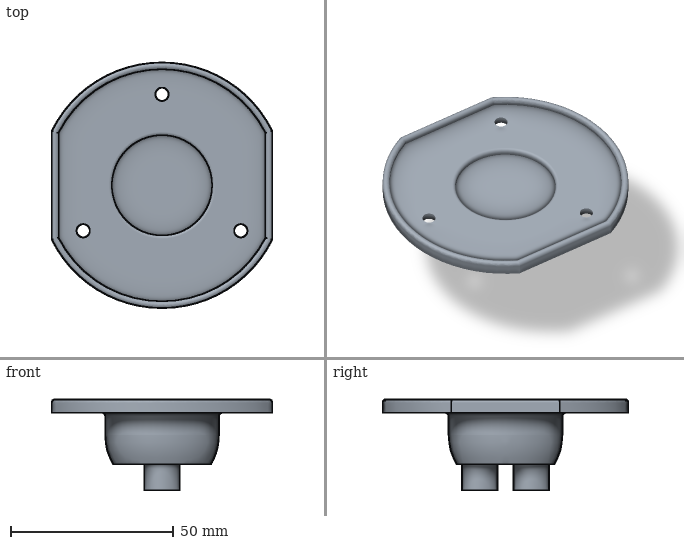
import cadquery as cq
import math

plate_diameter = 75.7
plate_width = 68.0
plate_height = 4.2
rim_width = 2.1
rim_height = 2.0
floor_z = plate_height - rim_height
rim_round = rim_width / 2

hole_count = 3
hole_diameter = 4.0
hole_circle_radius = 28.0
first_hole_angle = 90.0

recess_radius = 15.45
recess_depth = 2.0
recess_edge_round = 1.0

boss_radius = 17.6
boss_straight = 6.8
boss_height = 15.9
boss_root_round = 1.0

pin_diameter = 11.0
pin_spacing = 15.9
pin_length = 7.95


def flatted_outline(inset):
    """Closed outline of the plate, moved inwards by the inset."""
    radius = plate_diameter / 2 - inset
    half_width = plate_width / 2 - inset
    corner_y = math.sqrt(radius**2 - half_width**2)
    return (
        cq.Workplane("XY")
        .moveTo(half_width, -corner_y)
        .lineTo(half_width, corner_y)
        .threePointArc((0, radius), (-half_width, corner_y))
        .lineTo(-half_width, -corner_y)
        .threePointArc((0, -radius), (half_width, -corner_y))
        .close()
    )


def make_plate():
    """Floor plate with a round-topped rim swept along the rim's centreline, mitred at the corners."""
    outer_x = plate_width / 2
    inner_x = outer_x - rim_width
    round_start_z = plate_height - rim_round
    rim_section = (
        cq.Workplane("XZ")
        .moveTo(inner_x, 0)
        .lineTo(outer_x, 0)
        .lineTo(outer_x, round_start_z)
        .threePointArc((outer_x - rim_round, plate_height), (inner_x, round_start_z))
        .close()
    )
    centreline = flatted_outline(rim_width / 2)
    rim = rim_section.sweep(centreline, transition="right")
    return centreline.extrude(floor_z).union(rim)


def make_boss():
    """Boss revolved about Z, flaring into the plate through a concave root round."""
    drop = boss_height - boss_straight
    end_radius = math.sqrt(boss_radius**2 - drop**2)
    mid_angle = math.asin(drop / boss_radius) / 2
    mid_point = (
        boss_radius * math.cos(mid_angle),
        -boss_straight - boss_radius * math.sin(mid_angle),
    )
    root_mid = boss_root_round * (1 - math.sqrt(0.5))
    return (
        cq.Workplane("XZ")
        .lineTo(boss_radius + boss_root_round, 0)
        .threePointArc((boss_radius + root_mid, -root_mid), (boss_radius, -boss_root_round))
        .lineTo(boss_radius, -boss_straight)
        .threePointArc(mid_point, (end_radius, -boss_height))
        .lineTo(0, -boss_height)
        .close()
        .revolve(360, (0, 0), (0, 1))
    )


def make_pins():
    """Two pins side by side along Y under the boss."""
    return (
        cq.Workplane("XY", origin=(0, 0, -boss_height))
        .rarray(0.75, pin_spacing, 1, 2)
        .circle(pin_diameter / 2)
        .extrude(-pin_length)
    )


def make_recess():
    """Cutter for the recess, widened at its mouth so that the edge is rounded over."""
    mouth_radius = recess_radius + recess_edge_round
    round_mid = recess_edge_round * (1 - math.sqrt(0.5))
    return (
        cq.Workplane("XZ")
        .moveTo(0, floor_z - recess_depth)
        .lineTo(recess_radius, floor_z - recess_depth)
        .lineTo(recess_radius, floor_z - recess_edge_round)
        .threePointArc((recess_radius + round_mid, floor_z - round_mid), (mouth_radius, floor_z))
        .lineTo(0, floor_z)
        .close()
        .revolve(360, (0, 0), (0, 1))
    )


def make_holes():
    """Cutters for the mounting holes, evenly spaced on their circle."""
    return (
        cq.Workplane("XY")
        .polarArray(hole_circle_radius, first_hole_angle, 360, hole_count)
        .circle(hole_diameter / 2)
        .extrude(plate_height)
    )


result = make_plate().union(make_boss()).union(make_pins()).cut(make_recess()).cut(make_holes())